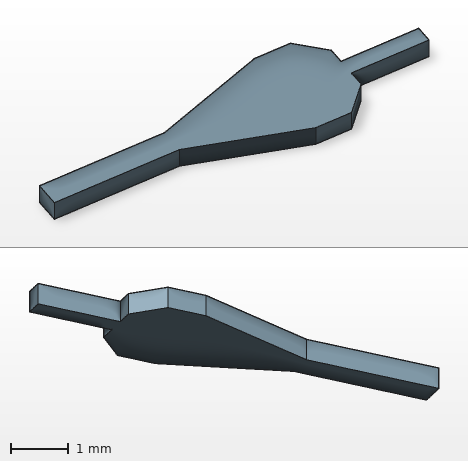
import cadquery as cq

total_length = 7.65
body_width = 2.03
thickness = 0.4

front_stem_width = 0.5
front_stem_length = 2.54
rear_stem_width = 0.345
rear_stem_length = 1.575

taper_length = 2.295
corner_cut_x = 0.52
corner_cut_y = 0.51

front_end = -total_length / 2
rear_end = total_length / 2
taper_start = front_end + front_stem_length
taper_end = taper_start + taper_length
body_rear = rear_end - rear_stem_length
corner_start = body_rear - corner_cut_y

right_side = [
    (front_stem_width / 2, front_end),
    (front_stem_width / 2, taper_start),
    (body_width / 2, taper_end),
    (body_width / 2, corner_start),
    (body_width / 2 - corner_cut_x, body_rear),
    (rear_stem_width / 2, body_rear),
    (rear_stem_width / 2, rear_end),
]
left_side = [(-x, y) for x, y in reversed(right_side)]

result = (
    cq.Workplane("XY")
    .polyline(right_side + left_side)
    .close()
    .extrude(thickness / 2, both=True)
)